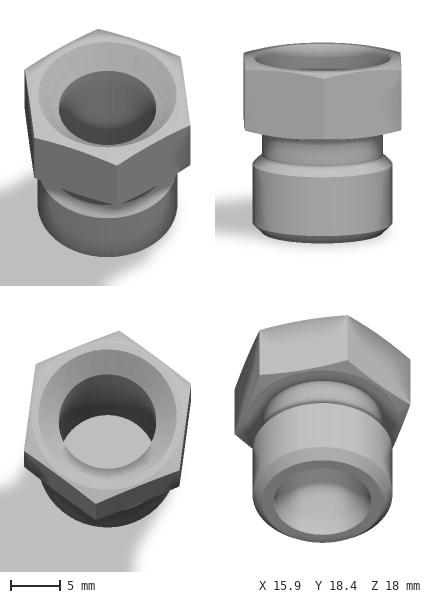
import cadquery as cq
import math

total_height = 18.0
hex_corners = 18.36
hex_height = 7.01

neck_diameter = 12.3
thread_diameter = 14.2
thread_height = 7.97

bore_diameter = 9.9
seat_diameter = 14.03

hex_face_diameter = 15.4
hex_bevel_angle = 15.0

hex_bottom = total_height - hex_height
hex_radius = hex_corners / 2
hex_face_radius = hex_face_diameter / 2
neck_radius = neck_diameter / 2
thread_radius = thread_diameter / 2
bore_radius = bore_diameter / 2
seat_radius = seat_diameter / 2


def revolve_profile(points):
    """Revolve a closed (radius, height) outline around the Z axis."""
    return cq.Workplane("XZ").polyline(points).close().revolve(360, (0, 0), (0, 1))


def make_hex_head():
    """Hexagon with corners on the Y axis, trimmed by a cone at each face."""
    prism = (
        cq.Workplane("XY")
        .workplane(offset=hex_bottom)
        .polygon(6, hex_corners)
        .extrude(hex_height)
        .rotate((0, 0, 0), (0, 0, 1), 90)
    )
    bevel_drop = (hex_radius - hex_face_radius) * math.tan(math.radians(hex_bevel_angle))
    envelope = revolve_profile([
        (0, hex_bottom),
        (hex_face_radius, hex_bottom),
        (hex_radius, hex_bottom + bevel_drop),
        (hex_radius, total_height - bevel_drop),
        (hex_face_radius, total_height),
        (0, total_height),
    ])
    return prism.intersect(envelope)


def make_shank():
    """Plain thread cylinder, bevelled down to the neck diameter at both ends."""
    bevel = thread_radius - neck_radius
    return revolve_profile([
        (0, 0),
        (neck_radius, 0),
        (thread_radius, bevel),
        (thread_radius, thread_height - bevel),
        (neck_radius, thread_height),
        (neck_radius, hex_bottom),
        (0, hex_bottom),
    ])


def make_bore():
    """Through bore that widens into a conical seat at the top."""
    seat_depth = seat_radius - bore_radius
    return revolve_profile([
        (0, 0),
        (bore_radius, 0),
        (bore_radius, total_height - seat_depth),
        (seat_radius, total_height),
        (0, total_height),
    ])


result = make_hex_head().union(make_shank()).cut(make_bore())